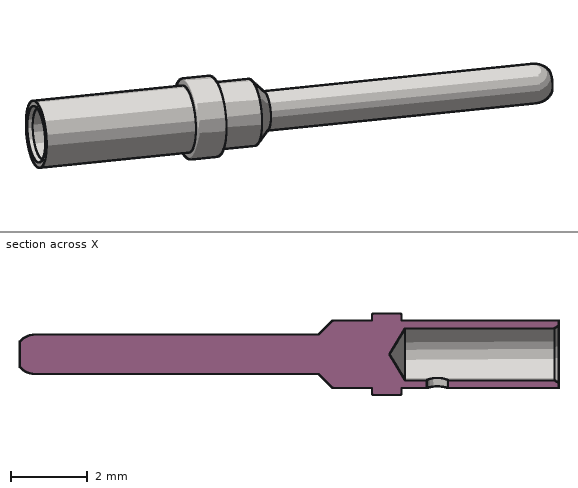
import cadquery as cq
import math

total_length = 14.02
collar_rear = 4.08
collar_width = 0.79
collar_front = collar_rear + collar_width
shoulder_start = 5.89
tip_length = 0.4

pin_diameter = 1.04
barrel_diameter = 1.76
collar_diameter = 2.13
bore_diameter = 1.34

collar_edge_radius = 0.05
mouth_chamfer_width = 0.07
mouth_chamfer_depth = 0.12

bore_depth = 4.0
drill_point_angle = 118
inspection_hole_diameter = 0.55
inspection_hole_station = 3.16

pin_radius = pin_diameter / 2
barrel_radius = barrel_diameter / 2
collar_radius = collar_diameter / 2
bore_radius = bore_diameter / 2


def make_pin_and_barrel():
    """Solid of revolution: barrel, 45 degree shoulder, pin and truncated spherical tip."""
    shoulder_end = shoulder_start + barrel_radius - pin_radius
    tip_start = total_length - tip_length
    tip_flat_radius = math.sqrt(pin_radius**2 - tip_length**2)
    arc_mid_angle = math.asin(tip_length / pin_radius) / 2
    arc_mid = (
        pin_radius * math.cos(arc_mid_angle),
        tip_start + pin_radius * math.sin(arc_mid_angle),
    )
    return (
        cq.Workplane("XY")
        .moveTo(0, 0)
        .lineTo(barrel_radius, 0)
        .lineTo(barrel_radius, shoulder_start)
        .lineTo(pin_radius, shoulder_end)
        .lineTo(pin_radius, tip_start)
        .threePointArc(arc_mid, (tip_flat_radius, total_length))
        .lineTo(0, total_length)
        .close()
        .revolve(360, (0, 0), (0, 1))
    )


def make_collar():
    """Retention collar with both outer edges rounded."""
    return (
        cq.Workplane("XZ", origin=(0, collar_front, 0))
        .circle(collar_radius)
        .extrude(collar_width)
        .edges()
        .fillet(collar_edge_radius)
    )


def make_bore():
    """Blind wire bore with a chamfered mouth and a conical drill point."""
    point_length = bore_radius / math.tan(math.radians(drill_point_angle / 2))
    return (
        cq.Workplane("XY")
        .moveTo(0, 0)
        .lineTo(bore_radius + mouth_chamfer_width, 0)
        .lineTo(bore_radius, mouth_chamfer_depth)
        .lineTo(bore_radius, bore_depth)
        .lineTo(0, bore_depth + point_length)
        .close()
        .revolve(360, (0, 0), (0, 1))
    )


def make_inspection_hole():
    """Radial hole through the barrel wall on the -Z side."""
    return (
        cq.Workplane("XY", origin=(0, inspection_hole_station, 0))
        .circle(inspection_hole_diameter / 2)
        .extrude(-collar_radius)
    )


result = make_pin_and_barrel().union(make_collar()).cut(make_bore()).cut(make_inspection_hole())